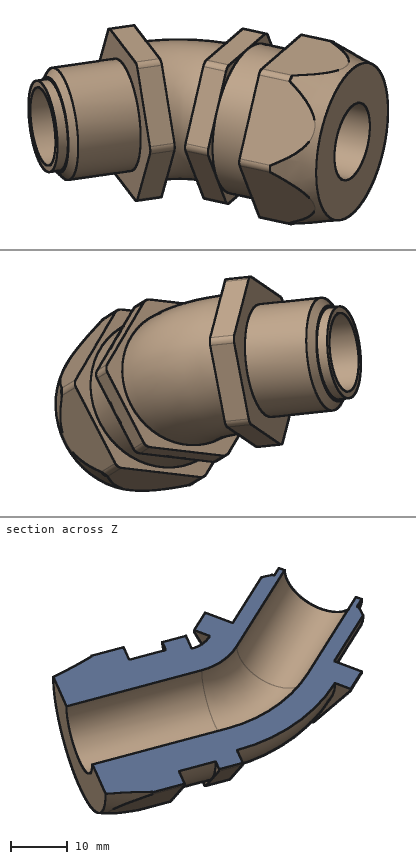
import cadquery as cq
import math

bend_angle = 45
bend_radius = 17.75
elbow_diameter = 24.6
bore_diameter = 13.9

tip_diameter = 16.3
tip_length = 1.9
thread_diameter = 20.0
chamfer_end_diameter = 17.0
thread_start = 3.2
flange_start = 14.8
flange_thickness = 4.55
bend_start = flange_start + flange_thickness

hex_across_flats = 27.0
hex_corner_radius = 1.45
collar_thickness = 4.5
neck_diameter = hex_across_flats
nut_start = 11.25
nut_length = 14.0
nut_across_flats = 29.0
nut_corner_radius = 1.4
nut_end_diameter = 28.3
nut_taper_length = 7.95
nut_taper_angle = 15.6

angle = math.radians(bend_angle)
bend_end_x = bend_radius * (1 - math.cos(angle))
bend_end_y = bend_start + bend_radius * math.sin(angle)
inlet_plane = cq.Plane(origin=(0, 0, 0), xDir=(0, 0, 1), normal=(0, 1, 0))
outlet_plane = cq.Plane(
    origin=(bend_end_x, bend_end_y, 0),
    xDir=(0, 0, 1),
    normal=(math.sin(angle), math.cos(angle), 0),
)


def cylinder(plane, start, length, diameter):
    return cq.Workplane(plane).workplane(offset=start).circle(diameter / 2).extrude(length)


def hexagon(plane, start, length, across_flats, corner_radius):
    """Hexagonal prism with flats facing +Z and -Z and rounded corners."""
    across_corners = across_flats / math.cos(math.radians(30))
    prism = (
        cq.Workplane(plane)
        .workplane(offset=start)
        .transformed(rotate=(0, 0, 30))
        .polygon(6, across_corners)
        .extrude(length)
    )
    return prism.edges(cq.selectors.ParallelDirSelector(plane.zDir)).fillet(corner_radius)


def bend(diameter):
    """Round bar swept around the elbow, about an axis parallel to Z."""
    return (
        cq.Workplane(inlet_plane)
        .workplane(offset=bend_start)
        .circle(diameter / 2)
        .revolve(bend_angle, (0.6, bend_radius), (0, bend_radius))
    )


def threaded_inlet():
    tip = cylinder(inlet_plane, 0, tip_length, tip_diameter)
    lead_in = (
        cq.Workplane(inlet_plane)
        .workplane(offset=tip_length)
        .circle(chamfer_end_diameter / 2)
        .workplane(offset=thread_start - tip_length)
        .circle(thread_diameter / 2)
        .loft(ruled=True)
    )
    thread = cylinder(inlet_plane, thread_start, flange_start - thread_start, thread_diameter)
    return tip.union(lead_in).union(thread)


def clamping_nut():
    """Hexagonal nut whose outer end is tapered by a cone."""
    prism = hexagon(outlet_plane, nut_start, nut_length, nut_across_flats, nut_corner_radius)
    nut_end = nut_start + nut_length
    taper_base_diameter = nut_end_diameter + 2 * nut_taper_length * math.tan(math.radians(nut_taper_angle))
    straight = cylinder(outlet_plane, nut_start, nut_length - nut_taper_length, 2 * nut_across_flats)
    cone = (
        cq.Workplane(outlet_plane)
        .workplane(offset=nut_end - nut_taper_length)
        .circle(taper_base_diameter / 2)
        .workplane(offset=nut_taper_length)
        .circle(nut_end_diameter / 2)
        .loft(ruled=True)
    )
    return prism.intersect(straight.union(cone))


flange = hexagon(inlet_plane, flange_start, flange_thickness, hex_across_flats, hex_corner_radius)
collar = hexagon(outlet_plane, 0, collar_thickness, hex_across_flats, hex_corner_radius)
neck = cylinder(outlet_plane, collar_thickness, nut_start - collar_thickness, neck_diameter)

body = threaded_inlet().union(flange).union(bend(elbow_diameter))
body = body.union(collar).union(neck).union(clamping_nut())

inlet_bore = cylinder(inlet_plane, 0, bend_start, bore_diameter)
outlet_bore = cylinder(outlet_plane, 0, nut_start + nut_length, bore_diameter)
result = body.cut(inlet_bore).cut(bend(bore_diameter)).cut(outlet_bore)